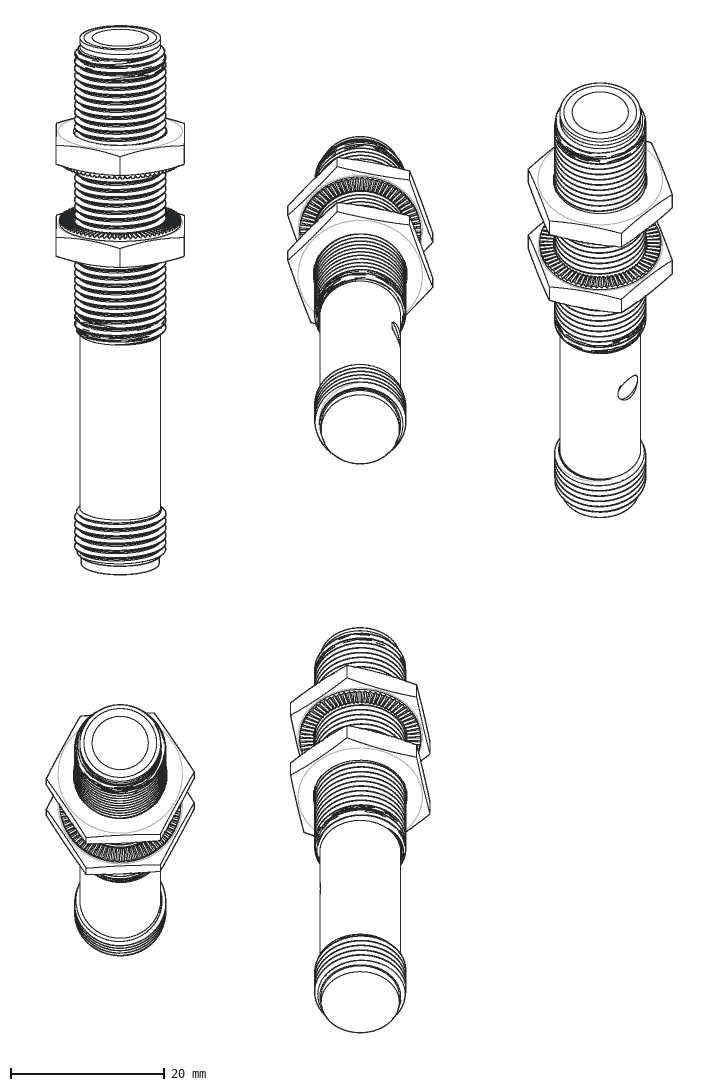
import cadquery as cq
import math

Z_AXIS = ((0, 0, 0), (0, 0, 1))

LENGTH = 72.0
BARREL_RADIUS = 10.6 / 2

THREAD_RADIUS = 6.0
PITCH = 18 / 18
SHARP_DEPTH = PITCH * math.cos(math.radians(30))
THREAD_DEPTH = SHARP_DEPTH * 17 / 24
ROOT_RADIUS = THREAD_RADIUS - THREAD_DEPTH
CREST_WIDTH = PITCH / 8
BASE_WIDTH = PITCH * 5 / 6
ROOT_OVERLAP = 0.2
LIMIT_CLEARANCE = 0.35
ROD_OVERRUN = 2.15
ROD_SEAM_ANGLE = 37

CONNECTOR_THREAD_BOTTOM = 1.2
THREADS = [
    (CONNECTOR_THREAD_BOTTOM, 7.55, 2.15),
    (31.5, 70.7, 69.6),
]
CONNECTOR_LIP_RADIUS = 5.1

FRONT_THICKNESS = 0.65
FRONT_RING_BORE_RADIUS = 4.75
FACE_DISC_RADIUS = 3.7

LAMP_RADIUS = 1.9
LAMP_HEIGHT = 23.2
LAMP_LENGTH = 1.45
LAMP_FACE_X = -math.sqrt(BARREL_RADIUS**2 - LAMP_RADIUS**2)

NUT_WIDTH = 16.8
NUT_CORNER_RADIUS = NUT_WIDTH / math.sqrt(3)
NUT_HEIGHT = 4.0
FLANGE_RADIUS = 7.9
FLANGE_HEIGHT = 0.6
BEVEL_RADIUS = 8.1
BEVEL_HEIGHT = 0.4
NUT_BORE_RADIUS = 6.1
TOOTH_COUNT = 72
TOOTH_DEPTH = 0.3
TOOTH_GROOVE_WIDTH = 0.4
UPPER_NUT_FLANGE_END = 55.15
LOWER_NUT_FLANGE_END = 47.15


def cylinder(radius, bottom, top):
    return cq.Workplane("XY").workplane(offset=bottom).circle(radius).extrude(top - bottom)


def thread_ridge(bottom, top, crest_height):
    """Right-hand helical ridge from below `bottom` to above `top`, with a crest at
    `crest_height` on the -X side."""
    start = crest_height - math.ceil((crest_height - bottom) / PITCH + 1) * PITCH
    turns = math.ceil((top - start) / PITCH + 1)
    flank_slope = (BASE_WIDTH - CREST_WIDTH) / 2 / THREAD_DEPTH
    base_radius = ROOT_RADIUS - ROOT_OVERLAP
    half_base = BASE_WIDTH / 2 + ROOT_OVERLAP * flank_slope
    half_crest = CREST_WIDTH / 2
    path = cq.Workplane(obj=cq.Wire.makeHelix(PITCH, turns * PITCH, ROOT_RADIUS))
    ridge = (
        cq.Workplane("XZ")
        .moveTo(base_radius, -half_base)
        .lineTo(THREAD_RADIUS, -half_crest)
        .lineTo(THREAD_RADIUS, half_crest)
        .lineTo(base_radius, half_base)
        .close()
        .sweep(path, isFrenet=True)
    )
    return ridge.rotate(*Z_AXIS, 180).translate((0, 0, start))


def housing_limit():
    """Solid of revolution that trims the threaded rod to the lip, barrel and neck, and
    leaves the two threaded stretches with 45 degree ends."""
    clear_radius = THREAD_RADIUS + LIMIT_CLEARANCE
    chamfer = clear_radius - BARREL_RADIUS
    neck_top = LENGTH - FRONT_THICKNESS
    outline = cq.Workplane("XZ").lineTo(CONNECTOR_LIP_RADIUS, 0)
    outline = outline.lineTo(CONNECTOR_LIP_RADIUS, CONNECTOR_THREAD_BOTTOM)
    for bottom, top, _ in THREADS:
        outline = (
            outline.lineTo(BARREL_RADIUS, bottom)
            .lineTo(clear_radius, bottom + chamfer)
            .lineTo(clear_radius, top - chamfer)
            .lineTo(BARREL_RADIUS, top)
        )
    return (
        outline.lineTo(BARREL_RADIUS, neck_top)
        .lineTo(0, neck_top)
        .close()
        .revolve(360, (0, 0, 0), (0, 1, 0))
        .rotate(*Z_AXIS, 180)
    )


def lamp_cylinder(start, end):
    """Cylinder along X at the lamp's height."""
    return (
        cq.Workplane("YZ")
        .workplane(offset=start)
        .center(0, LAMP_HEIGHT)
        .circle(LAMP_RADIUS)
        .extrude(end - start)
    )


def lamp_hole():
    """Hole for the lamp, open at the barrel surface."""
    return lamp_cylinder(-BARREL_RADIUS, LAMP_FACE_X + LAMP_LENGTH)


def make_housing():
    """Rod with both thread ridges, trimmed to the housing outline and drilled for the lamp."""
    rod = cylinder(ROOT_RADIUS, -ROD_OVERRUN, LENGTH + ROD_OVERRUN).rotate(*Z_AXIS, ROD_SEAM_ANGLE)
    for bottom, top, crest_height in THREADS:
        rod = rod.union(thread_ridge(bottom, top, crest_height), clean=False)
    return rod.intersect(housing_limit(), clean=False).cut(lamp_hole(), clean=False).solids()


def make_lamp():
    return lamp_cylinder(LAMP_FACE_X, LAMP_FACE_X + LAMP_LENGTH)


def front_disc(radius):
    """Full-thickness disc at the sensing end."""
    return cylinder(radius, LENGTH - FRONT_THICKNESS, LENGTH)


def make_front_ring():
    return front_disc(BARREL_RADIUS).cut(front_disc(FRONT_RING_BORE_RADIUS)).solids()


def make_face_ring():
    return front_disc(FRONT_RING_BORE_RADIUS).cut(front_disc(FACE_DISC_RADIUS)).solids()


def make_face_disc():
    return front_disc(FACE_DISC_RADIUS)


def bevelled_hexagon():
    """Hexagon with corners on the Y axis, its corners bevelled by a cone at both ends."""
    hexagon = (
        cq.Workplane("XY")
        .workplane(offset=FLANGE_HEIGHT)
        .polygon(6, 2 * NUT_CORNER_RADIUS)
        .extrude(NUT_HEIGHT - FLANGE_HEIGHT)
        .rotate(*Z_AXIS, 30)
    )
    bevel_limit = (
        cq.Workplane("XZ")
        .moveTo(0, FLANGE_HEIGHT)
        .lineTo(BEVEL_RADIUS, FLANGE_HEIGHT)
        .lineTo(NUT_CORNER_RADIUS, FLANGE_HEIGHT + BEVEL_HEIGHT)
        .lineTo(NUT_CORNER_RADIUS, NUT_HEIGHT - BEVEL_HEIGHT)
        .lineTo(BEVEL_RADIUS, NUT_HEIGHT)
        .lineTo(0, NUT_HEIGHT)
        .close()
        .revolve(360, (0, 0, 0), (0, 1, 0))
    )
    return hexagon.intersect(bevel_limit)


def serration_grooves():
    """Radial V grooves in the plane end of the flange, at Z = 0."""
    groove = (
        cq.Workplane("YZ")
        .workplane(offset=NUT_BORE_RADIUS / 2)
        .moveTo(-TOOTH_GROOVE_WIDTH / 2, 0)
        .lineTo(0, TOOTH_DEPTH)
        .lineTo(TOOTH_GROOVE_WIDTH / 2, 0)
        .close()
        .extrude(FLANGE_RADIUS)
        .val()
    )
    step = 360 / TOOTH_COUNT
    return [groove.rotate(cq.Vector(), cq.Vector(0, 0, 1), i * step) for i in range(TOOTH_COUNT)]


def make_nut():
    """Nut with its serrated flange end at Z = 0 and its plain end at Z = NUT_HEIGHT."""
    blank = bevelled_hexagon().union(cylinder(FLANGE_RADIUS, 0, FLANGE_HEIGHT))
    bored = blank.cut(cylinder(NUT_BORE_RADIUS, 0, NUT_HEIGHT))
    return cq.Workplane(obj=bored.val().cut(*serration_grooves())).solids()


housing = make_housing()
lamp = make_lamp()
front_ring = make_front_ring()
face_ring = make_face_ring()
face_disc = make_face_disc()
nut = make_nut()
upper_nut = nut.translate((0, 0, UPPER_NUT_FLANGE_END))
lower_nut = nut.rotate((0, 0, 0), (1, 0, 0), 180).translate((0, 0, LOWER_NUT_FLANGE_END))

result = cq.Compound.makeCompound([
    housing.val(),
    lamp.val(),
    front_ring.val(),
    face_ring.val(),
    face_disc.val(),
    upper_nut.val(),
    lower_nut.val(),
])